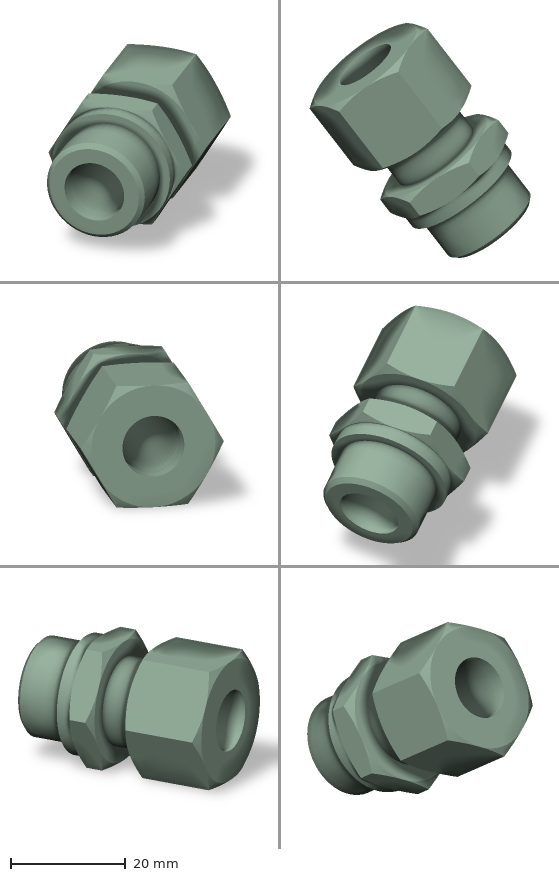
import cadquery as cq
import math

thread_length = 9.0
collar_length = 2.5
body_hex_length = 4.98
neck_length = 6.0
nut_length = 14.98

across_flats = 22.0
thread_diameter = 17.98
collar_diameter = 21.65
neck_diameter = 16.0
bore_diameter = 10.97
thread_chamfer = 0.82
hex_chamfer_angle = 30.0

across_corners = across_flats / math.cos(math.radians(30))
corner_height = (across_corners - across_flats) / 2
hex_chamfer_depth = corner_height * math.tan(math.radians(hex_chamfer_angle))

collar_start = thread_length
body_hex_start = collar_start + collar_length
neck_start = body_hex_start + body_hex_length
nut_start = neck_start + neck_length
total_length = nut_start + nut_length


def section_plane(start):
    """Plane across the axis at y = start, extruding toward +Y."""
    return cq.Workplane(cq.Plane(origin=(0, start, 0), xDir=(1, 0, 0), normal=(0, 1, 0)))


def cylinder(diameter, start, length):
    return section_plane(start).circle(diameter / 2).extrude(length)


def chamfered_hexagon(start, length):
    """Hexagon with corners on the X axis, its corners turned off conically at both ends."""
    prism = section_plane(start).polygon(6, across_corners).extrude(length)
    end = start + length
    turned_envelope = (
        cq.Workplane("XY")
        .moveTo(0, start)
        .lineTo(across_flats / 2, start)
        .lineTo(across_corners / 2, start + hex_chamfer_depth)
        .lineTo(across_corners / 2, end - hex_chamfer_depth)
        .lineTo(across_flats / 2, end)
        .lineTo(0, end)
        .close()
        .revolve(360, (0, 0, 0), (0, 1, 0))
    )
    return prism.intersect(turned_envelope)


threaded_end = cylinder(thread_diameter, 0, thread_length).faces("<Y").chamfer(thread_chamfer)
collar = cylinder(collar_diameter, collar_start, collar_length)
body_hex = chamfered_hexagon(body_hex_start, body_hex_length)
neck = cylinder(neck_diameter, neck_start, neck_length)
nut = chamfered_hexagon(nut_start, nut_length)
bore = cylinder(bore_diameter, 0, total_length)

result = threaded_end.union(collar).union(body_hex).union(neck).union(nut).cut(bore)